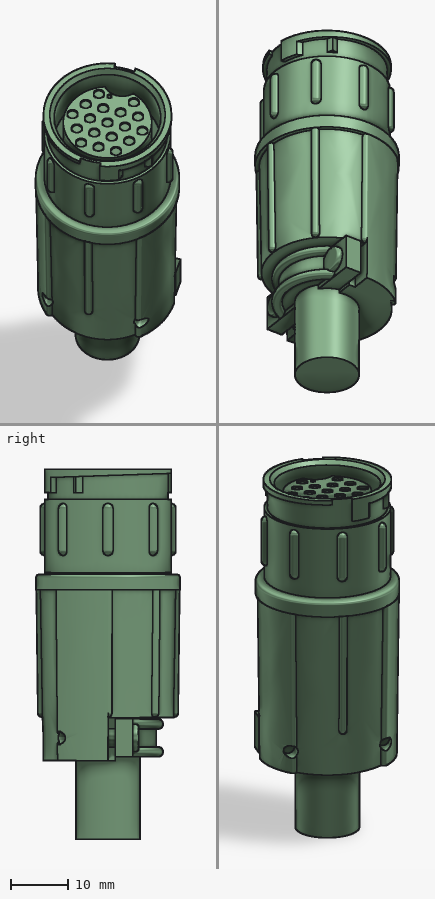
import cadquery as cq
import math

CABLE_TOP = 13.72
REAR_SHELL_BOTTOM = 21.2
GRIP_TOP = 43.45
COLLAR_TOP = 46.15
SLEEVE_BOTTOM = 46.45
SLEEVE_TOP = 59.2
TOTAL_HEIGHT = 64.47

CABLE_RADIUS = 5.6
COLLAR_RADIUS = 12.55
COLLAR_ROUNDING = 0.6
NECK_RADIUS = 10.0
SLEEVE_RADIUS = 11.03
BARREL_RADIUS = 10.47

CORE_BOTTOM_RADIUS = 11.3
CORE_TOP_RADIUS = 11.8
PLATE_BOTTOM_RADIUS = 12.13
PLATE_TOP_RADIUS = 12.5
PLATE_SPAN_ANGLE = 45
GRIP_RIB_RADIUS = 0.7
GRIP_RIB_BOTTOM = 22.0
SHORT_RIB_ANGLES = (-90, 0, 45, 90, 135, 180)

CLAMP_MID_Z = 17.66
CLAMP_HEIGHT = 6.6
CLAMP_SEAT_Y = 1.23
EAR_THICKNESS = 3.1
EAR_HALF_SPAN = 12.0
ARCH_RADIUS = 8.45
RIM_TUBE_RADIUS = 0.88
RIM_OUTER_RADIUS = 9.6
SCREW_X = 8.5
SCREW_HEAD_RADIUS = 2.4
SCREW_HEAD_HEIGHT = 1.0
SCREW_HEAD_ROUNDING = 0.5
SCREW_HOLE_RADIUS = 1.15
SCREW_HOLE_FLOOR_Y = -6.0
SHANK_RADIUS = 1.58

SLEEVE_RIB_COUNT = 8
SLEEVE_RIB_RADIUS = 0.88
SLEEVE_RIB_TIP_RADIUS = 11.83
SLEEVE_RIB_BOTTOM = 49.4
SLEEVE_RIB_TOP = 58.5

RIM_RADIUS = 11.17
RIM_MEAN_THICKNESS = 1.12
RIM_SLOPE = 0.034
RIM_GAP_HALF_WIDTH = 1.83
LUG_BOTTOM = 60.35
LUG_OUTER_CORNER = (5.0, -10.0)
LUG_INNER_CORNER = (5.42, -8.97)
TOOTH_ANGLE = -30
TOOTH_HALF_ANGLE = 5

MOUTH_RADIUS = 10.05
BORE_RADIUS = 9.27
BORE_FLOOR = 57.0
INSERT_RADIUS = 7.69
INSERT_TOP = 62.27
KEY_RADIUS = 3.2
KEY_CENTER_Y = 9.2
CONTACT_RADIUS = 0.93
CONTACT_DEPTH = 0.35
CONTACT_PITCH = 3.17
CONTACT_ROWS = ((2, (-1, 1)),
                (1, (-1.5, -0.5, 0.5, 1.5)),
                (0, (-2, -1, 0, 1, 2)),
                (-1, (-1.5, -0.5, 0.5, 1.5)),
                (-2, (-1, 0, 1)))
MARK_HOLE_RADIUS = 0.4
MARK_HOLE_X = -1.28
MARK_HOLE_Y = 5.5

REACH = 2 * COLLAR_RADIUS


def box(x_min, x_max, y_min, y_max, z_min, z_max):
    corner = cq.Vector(x_min, y_min, z_min)
    return cq.Workplane(cq.Solid.makeBox(x_max - x_min, y_max - y_min, z_max - z_min, corner))


def disc(radius, z_min, z_max):
    return cq.Workplane("XY", origin=(0, 0, z_min)).circle(radius).extrude(z_max - z_min)


def cone(bottom_radius, top_radius, z_min, z_max):
    return cq.Workplane(cq.Solid.makeCone(bottom_radius, top_radius, z_max - z_min, cq.Vector(0, 0, z_min)))


def rod(radius, start, end):
    axis = end - start
    return cq.Workplane(cq.Solid.makeCylinder(radius, axis.Length, start, axis))


def ball(radius, center):
    return cq.Workplane("XY").sphere(radius).translate(center)


def half_turn(shape):
    """Adds the copy of a shape turned by 180 degrees about the connector axis."""
    return shape.union(shape.rotate((0, 0, 0), (0, 0, 1), 180))


def polar(radius, angle):
    return (radius * math.cos(math.radians(angle)), radius * math.sin(math.radians(angle)))


def round_sections():
    collar = disc(COLLAR_RADIUS, GRIP_TOP, COLLAR_TOP).faces(">Z").edges().fillet(COLLAR_ROUNDING)
    sections = disc(CABLE_RADIUS, 0, REAR_SHELL_BOTTOM).union(collar)
    sections = sections.union(disc(NECK_RADIUS, COLLAR_TOP, SLEEVE_BOTTOM))
    sections = sections.union(disc(SLEEVE_RADIUS, SLEEVE_BOTTOM, SLEEVE_TOP))
    return sections.union(disc(BARREL_RADIUS, SLEEVE_TOP, TOTAL_HEIGHT))


def grip_rib(bottom_z):
    """A slim tapering rib along +X, and the ball that can round its lower end."""
    slope = (PLATE_TOP_RADIUS - PLATE_BOTTOM_RADIUS) / (GRIP_TOP - CABLE_TOP)
    top = cq.Vector(PLATE_TOP_RADIUS - GRIP_RIB_RADIUS, 0, GRIP_TOP)
    bottom = cq.Vector(top.x - slope * (GRIP_TOP - bottom_z), 0, bottom_z)
    return rod(GRIP_RIB_RADIUS, bottom, top), ball(GRIP_RIB_RADIUS, bottom)


def side_plates():
    """Thick quarter plates at both sides, each ending in a rib that runs the full grip length."""
    height = GRIP_TOP - CABLE_TOP
    taper = cone(PLATE_BOTTOM_RADIUS, PLATE_TOP_RADIUS, CABLE_TOP, GRIP_TOP)
    long_rib, _ = grip_rib(CABLE_TOP)
    plates = []
    for side_angle, rib_angle in ((180, 180 + PLATE_SPAN_ANGLE), (0, -PLATE_SPAN_ANGLE)):
        wedge = (cq.Workplane("XY", origin=(0, 0, CABLE_TOP))
                 .polyline([(0, 0), polar(REACH, side_angle), polar(REACH, rib_angle)])
                 .close().extrude(height))
        plates.append(taper.intersect(wedge).union(long_rib.rotate((0, 0, 0), (0, 0, 1), rib_angle)))
    left, right = plates
    return left.union(right)


def grip():
    core = cone(CORE_BOTTOM_RADIUS, CORE_TOP_RADIUS, CABLE_TOP, GRIP_TOP)
    shell = core.union(side_plates())
    shell = shell.cut(box(-REACH, REACH, CLAMP_SEAT_Y, REACH, CABLE_TOP, REAR_SHELL_BOTTOM))
    straight, rounded_end = grip_rib(GRIP_RIB_BOTTOM)
    rib = straight.union(rounded_end)
    for angle in SHORT_RIB_ANGLES:
        shell = shell.union(rib.rotate((0, 0, 0), (0, 0, 1), angle))
    for x in (-SCREW_X, SCREW_X):
        hole_start = cq.Vector(x, -REACH, CLAMP_MID_Z)
        shell = shell.cut(rod(SCREW_HOLE_RADIUS, hole_start, cq.Vector(x, SCREW_HOLE_FLOOR_Y, CLAMP_MID_Z)))
        x_min, x_max = sorted((x, math.copysign(REACH, x)))
        shell = shell.cut(box(x_min, x_max, 0, CLAMP_SEAT_Y, CABLE_TOP, REAR_SHELL_BOTTOM))
        shank_start = cq.Vector(x, 0, CLAMP_MID_Z)
        shell = shell.union(rod(SHANK_RADIUS, shank_start, cq.Vector(x, CLAMP_SEAT_Y, CLAMP_MID_Z)))
    return shell


def clamp():
    """An arch over the cable with a round rim at each edge, and two screwed-down ears."""
    z_min = CLAMP_MID_Z - CLAMP_HEIGHT / 2
    z_max = CLAMP_MID_Z + CLAMP_HEIGHT / 2
    rim_z = (z_min + RIM_TUBE_RADIUS, z_max - RIM_TUBE_RADIUS)
    ear_top_y = CLAMP_SEAT_Y + EAR_THICKNESS
    arch = disc(ARCH_RADIUS, *rim_z)
    for z in rim_z:
        rim = cq.Solid.makeTorus(RIM_OUTER_RADIUS - RIM_TUBE_RADIUS, RIM_TUBE_RADIUS, cq.Vector(0, 0, z))
        arch = arch.union(cq.Workplane(rim))
    strap = arch.intersect(box(-REACH, REACH, CLAMP_SEAT_Y, REACH, z_min, z_max))
    strap = strap.union(box(-EAR_HALF_SPAN, EAR_HALF_SPAN, CLAMP_SEAT_Y, ear_top_y, z_min, z_max))
    for x in (-SCREW_X, SCREW_X):
        base = cq.Vector(x, ear_top_y, CLAMP_MID_Z)
        head = rod(SCREW_HEAD_RADIUS, base, base + cq.Vector(0, SCREW_HEAD_HEIGHT, 0))
        strap = strap.union(head.faces(">Y").edges().fillet(SCREW_HEAD_ROUNDING))
    return strap


def sleeve_ribs():
    x = SLEEVE_RIB_TIP_RADIUS - SLEEVE_RIB_RADIUS
    bottom = cq.Vector(x, 0, SLEEVE_RIB_BOTTOM + SLEEVE_RIB_RADIUS)
    top = cq.Vector(x, 0, SLEEVE_RIB_TOP - SLEEVE_RIB_RADIUS)
    rib = rod(SLEEVE_RIB_RADIUS, bottom, top)
    rib = rib.union(ball(SLEEVE_RIB_RADIUS, bottom)).union(ball(SLEEVE_RIB_RADIUS, top))
    ribs = rib
    for i in range(1, SLEEVE_RIB_COUNT):
        ribs = ribs.union(rib.rotate((0, 0, 0), (0, 0, 1), i * 360 / SLEEVE_RIB_COUNT))
    return ribs


def bayonet_rim():
    """Two half rims with ramped undersides, each with a deep end lug and a small locking tooth."""
    mean_bottom = TOTAL_HEIGHT - RIM_MEAN_THICKNESS
    rise = RIM_SLOPE * REACH
    ramp = (cq.Workplane("YZ", origin=(RIM_GAP_HALF_WIDTH, 0, 0))
            .polyline([(-REACH, mean_bottom - rise), (REACH, mean_bottom + rise),
                       (REACH, TOTAL_HEIGHT), (-REACH, TOTAL_HEIGHT)])
            .close().extrude(REACH))
    lug_height = TOTAL_HEIGHT - LUG_BOTTOM
    outer_x, outer_y = LUG_OUTER_CORNER
    inner_x, inner_y = LUG_INNER_CORNER
    lug = (cq.Workplane("XY", origin=(0, 0, LUG_BOTTOM))
           .polyline([(RIM_GAP_HALF_WIDTH, inner_y), (inner_x, inner_y), (outer_x, outer_y),
                      (outer_x, -REACH), (RIM_GAP_HALF_WIDTH, -REACH)])
           .close().extrude(lug_height))
    tooth = (cq.Workplane("XY", origin=(0, 0, LUG_BOTTOM))
             .polyline([(0, 0), polar(BARREL_RADIUS, TOOTH_ANGLE - TOOTH_HALF_ANGLE),
                        polar(RIM_RADIUS, TOOTH_ANGLE),
                        polar(BARREL_RADIUS, TOOTH_ANGLE + TOOTH_HALF_ANGLE)])
             .close().extrude(lug_height - RIM_MEAN_THICKNESS / 2))
    ring = disc(RIM_RADIUS, LUG_BOTTOM, TOTAL_HEIGHT)
    half_rim = ring.intersect(ramp.union(lug).union(tooth))
    return half_turn(half_rim)


def mouth_cut():
    """The chamfered bore, with the contact insert left standing in it."""
    chamfer = MOUTH_RADIUS - BORE_RADIUS
    bore = disc(BORE_RADIUS, BORE_FLOOR, TOTAL_HEIGHT)
    bore = bore.union(cone(BORE_RADIUS, MOUTH_RADIUS, TOTAL_HEIGHT - chamfer, TOTAL_HEIGHT))
    key = disc(KEY_RADIUS, BORE_FLOOR, INSERT_TOP).translate((0, KEY_CENTER_Y, 0))
    insert = disc(INSERT_RADIUS, BORE_FLOOR, INSERT_TOP).cut(key)
    return bore.cut(insert)


def contact_holes():
    row_spacing = CONTACT_PITCH * math.sqrt(3) / 2
    centers = [(step * CONTACT_PITCH, row * row_spacing) for row, steps in CONTACT_ROWS for step in steps]
    face = cq.Workplane("XY", origin=(0, 0, INSERT_TOP))
    contacts = face.pushPoints(centers).circle(CONTACT_RADIUS).extrude(-CONTACT_DEPTH)
    mark = face.center(MARK_HOLE_X, MARK_HOLE_Y).circle(MARK_HOLE_RADIUS).extrude(-CONTACT_DEPTH)
    return contacts.union(mark)


connector = round_sections().union(grip()).union(clamp())
connector = connector.union(sleeve_ribs()).union(bayonet_rim())
result = connector.cut(mouth_cut()).cut(contact_holes())